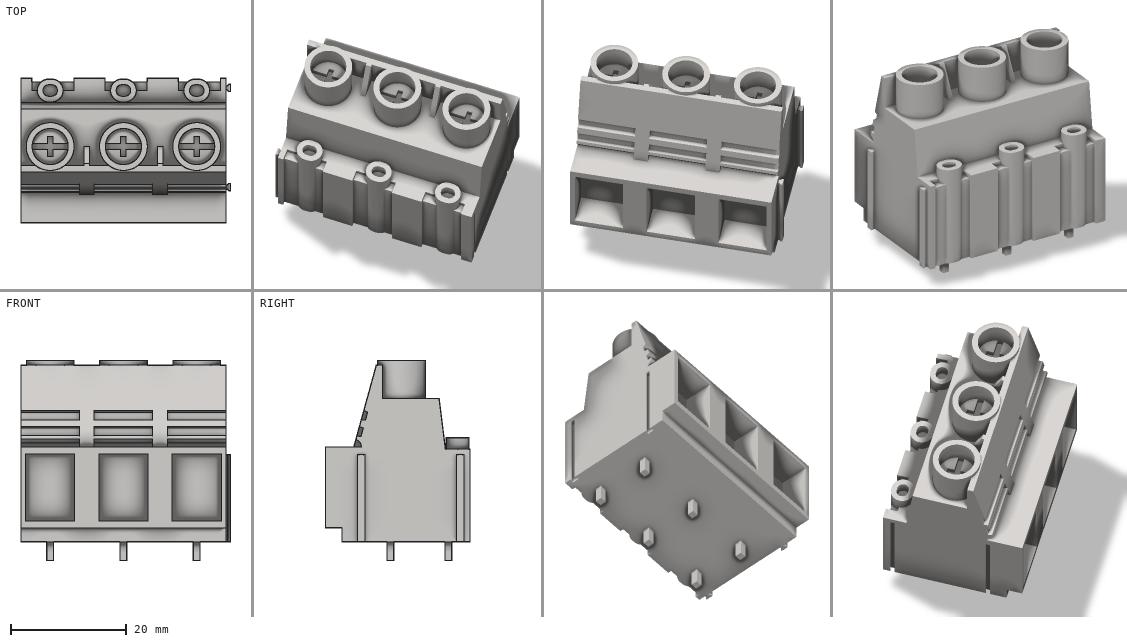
import cadquery as cq


POLES = 3
PITCH = 12.7
WIDTH = 35.55
MID_X = WIDTH / 2
POLE_XS = [MID_X + (i - (POLES - 1) / 2) * PITCH for i in range(POLES)]
GAP_XS = [(left + right) / 2 for left, right in zip(POLE_XS, POLE_XS[1:])]

DEPTH = 25.05
FRONT_TOP = 16.47
STEP_DEPTH = 2.85
STEP_HEIGHT = 2.45
WALL_TOP = 30.6
WALL_FRONT_TOP_Y = 8.8
WALL_FRONT_BASE_Y = 4.9
WALL_BACK_Y = 9.9
DECK_TOP = 24.85
DECK_BACK_TOP_Y = 19.7
DECK_BACK_BASE_Y = 20.8
REAR_TOP = 16.07

WEB_WIDTH = 2.55
GROOVE_DEPTH = 0.75
UPPER_GROOVE_TOP = 22.75
UPPER_GROOVE_INNER_TOP = 22.45
UPPER_GROOVE_BOTTOM = 21.1
MIDDLE_GROOVE_TOP = 19.95
MIDDLE_GROOVE_INNER_TOP = 19.7
MIDDLE_GROOVE_INNER_BOTTOM = 18.2
MIDDLE_GROOVE_BOTTOM = 18.4
LOWER_GROOVE_TOP = 17.8
LOWER_GROOVE_BEND_Y = 6.07
LOWER_GROOVE_BEND_Z = 17.15
LOWER_GROOVE_FOOT_Y = 6.25

GUSSET_WIDTH = 0.95
GUSSET_TOP_Y = 10.3
GUSSET_FOOT_Y = 13.25

WIRE_WIDTH = 8.5
WIRE_BOTTOM = 3.65
WIRE_TOP = 15.25
WIRE_DEPTH = 5.35

TUBE_Y = 13.2
TUBE_TOP = 31.45
TUBE_RADIUS = 4.15
SCREW_RADIUS = 3.13
SCREW_TOP = 27.45
SCREW_LENGTH = 5.0
LONG_SLOT_WIDTH = 1.1
SHORT_SLOT_WIDTH = 0.95
SHORT_SLOT_LENGTH = 3.5
SLOT_DEPTH = 1.0

NOTCH_WIDTH = 7.27
NOTCH_OFFSET = 0.47
NOTCH_DEPTH = 0.65
SHELF_DEPTH = 2.1
SHELF_DROP = 0.8
SOCKET_Y = 22.9
SOCKET_TOP = 18.07
SOCKET_LENGTH = 4.47
SOCKET_WIDTH = 3.95
SOCKET_WALL = 0.98

DOVETAIL_YS = [6.18, 23.35]
DOVETAIL_TOP = 15.13
DOVETAIL_NECK_WIDTH = 0.75
DOVETAIL_HEAD_WIDTH = 1.3
DOVETAIL_NECK_END = 0.2
DOVETAIL_HEAD_START = 0.5
DOVETAIL_LENGTH = 0.8

PIN_WIDTH = 1.2
PIN_LENGTH = 3.25
PIN_YS = [11.25, 21.3]


def wall_front_y(z):
    """Y of the sloping front of the wall at height z."""
    lean = (WALL_FRONT_TOP_Y - WALL_FRONT_BASE_Y) / (WALL_TOP - FRONT_TOP)
    return WALL_FRONT_BASE_Y + (z - FRONT_TOP) * lean


def groove_floor_y(z):
    """Y of the floor of a grip groove at height z."""
    return wall_front_y(z) + GROOVE_DEPTH


def side_extrusion(points, center_x, width):
    """Prism with a (y, z) outline, centred on center_x."""
    return cq.Workplane("YZ", origin=(center_x, 0, 0)).polyline(points).close().extrude(width / 2, both=True)


def box(center_x, width, y_start, y_end, z_start, z_end):
    """Block centred on center_x between the given Y and Z limits."""
    corner = (center_x - width / 2, y_start, z_start)
    return cq.Workplane("XY").box(width, y_end - y_start, z_end - z_start, centered=False).translate(corner)


def cylinder(center_x, center_y, radius, z_start, z_end):
    """Upright cylinder between the given heights."""
    return cq.Workplane("XY", origin=(center_x, center_y, z_start)).circle(radius).extrude(z_end - z_start)


def socket_prism(center_x, inset, z_start, z_end):
    """Upright prism whose outline is the round-ended socket outline moved inward by inset."""
    base = cq.Workplane("XY", origin=(center_x, SOCKET_Y, z_start))
    return base.slot2D(SOCKET_LENGTH - 2 * inset, SOCKET_WIDTH - 2 * inset).extrude(z_end - z_start)


def dovetail(start_x, center_y):
    """Upright bar that widens toward +X, used as a rib and as the cutter of its groove."""
    neck = DOVETAIL_NECK_WIDTH / 2
    head = DOVETAIL_HEAD_WIDTH / 2
    half_outline = [(0, neck), (DOVETAIL_NECK_END, neck), (DOVETAIL_HEAD_START, head), (DOVETAIL_LENGTH, head)]
    outline = half_outline + [(x, -y) for x, y in reversed(half_outline)]
    return cq.Workplane("XY", origin=(start_x, center_y, 0)).polyline(outline).close().extrude(DOVETAIL_TOP)


def housing_body():
    """Side profile carried across the full width."""
    profile = [
        (STEP_DEPTH, 0),
        (STEP_DEPTH, STEP_HEIGHT),
        (0, STEP_HEIGHT),
        (0, FRONT_TOP),
        (WALL_FRONT_BASE_Y, FRONT_TOP),
        (WALL_FRONT_TOP_Y, WALL_TOP),
        (WALL_BACK_Y, WALL_TOP),
        (WALL_BACK_Y, DECK_TOP),
        (DECK_BACK_TOP_Y, DECK_TOP),
        (DECK_BACK_BASE_Y, REAR_TOP),
        (DEPTH, REAR_TOP),
        (DEPTH, 0),
    ]
    return side_extrusion(profile, MID_X, WIDTH)


def grip_grooves():
    """Cutter for the three rows of grooves, interrupted where the webs stay."""
    upper = [
        (wall_front_y(UPPER_GROOVE_TOP), UPPER_GROOVE_TOP),
        (groove_floor_y(UPPER_GROOVE_INNER_TOP), UPPER_GROOVE_INNER_TOP),
        (groove_floor_y(UPPER_GROOVE_BOTTOM), UPPER_GROOVE_BOTTOM),
        (wall_front_y(UPPER_GROOVE_BOTTOM), UPPER_GROOVE_BOTTOM),
    ]
    middle = [
        (wall_front_y(MIDDLE_GROOVE_TOP), MIDDLE_GROOVE_TOP),
        (groove_floor_y(MIDDLE_GROOVE_INNER_TOP), MIDDLE_GROOVE_INNER_TOP),
        (groove_floor_y(MIDDLE_GROOVE_INNER_BOTTOM), MIDDLE_GROOVE_INNER_BOTTOM),
        (wall_front_y(MIDDLE_GROOVE_BOTTOM), MIDDLE_GROOVE_BOTTOM),
    ]
    lower = [
        (wall_front_y(LOWER_GROOVE_TOP), LOWER_GROOVE_TOP),
        (LOWER_GROOVE_BEND_Y, LOWER_GROOVE_BEND_Z),
        (LOWER_GROOVE_FOOT_Y, FRONT_TOP),
        (WALL_FRONT_BASE_Y, FRONT_TOP),
    ]
    grooves = cq.Workplane("XY")
    for outline in (upper, middle, lower):
        grooves = grooves.add(side_extrusion(outline, MID_X, WIDTH))
    grooves = grooves.combine()
    for x in GAP_XS:
        grooves = grooves.cut(box(x, WEB_WIDTH, 0, WALL_BACK_Y, 0, WALL_TOP))
    return grooves


def gusset(x):
    """Rib with a sloping back that joins the wall to the deck behind it."""
    outline = [
        (WALL_BACK_Y, DECK_TOP),
        (WALL_BACK_Y, WALL_TOP),
        (GUSSET_TOP_Y, WALL_TOP),
        (GUSSET_FOOT_Y, DECK_TOP),
    ]
    return side_extrusion(outline, x, GUSSET_WIDTH)


def rear_notch(x):
    """Full-height notch in the back face, with a shallow shelf cut in front of it."""
    center_x = x + NOTCH_OFFSET
    slot = box(center_x, NOTCH_WIDTH, DEPTH - NOTCH_DEPTH, DEPTH, 0, REAR_TOP)
    shelf = box(center_x, NOTCH_WIDTH, DEPTH - SHELF_DEPTH, DEPTH, REAR_TOP - SHELF_DROP, REAR_TOP)
    return slot.union(shelf)


def make_housing():
    """Moulded housing with its tubes, sockets, wire openings and dovetails."""
    housing = housing_body().cut(grip_grooves())
    for x in GAP_XS:
        housing = housing.union(gusset(x))
    for x in POLE_XS:
        housing = housing.cut(rear_notch(x))
        housing = housing.union(socket_prism(x, 0, 0, SOCKET_TOP))
        housing = housing.cut(socket_prism(x, SOCKET_WALL, REAR_TOP, SOCKET_TOP))
        housing = housing.union(cylinder(x, TUBE_Y, TUBE_RADIUS, DECK_TOP, TUBE_TOP))
        housing = housing.cut(cylinder(x, TUBE_Y, SCREW_RADIUS, SCREW_TOP - SCREW_LENGTH, TUBE_TOP))
        housing = housing.cut(box(x, WIRE_WIDTH, 0, WIRE_DEPTH, WIRE_BOTTOM, WIRE_TOP))
    for y in DOVETAIL_YS:
        housing = housing.union(dovetail(WIDTH, y))
        housing = housing.cut(dovetail(0, y))
    return housing


def make_screw(x):
    """Headless screw that fills the lower part of its tube, with a cross slot in its top."""
    screw = cylinder(x, TUBE_Y, SCREW_RADIUS, SCREW_TOP - SCREW_LENGTH, SCREW_TOP)
    slot_floor = SCREW_TOP - SLOT_DEPTH
    long_half = LONG_SLOT_WIDTH / 2
    short_half = SHORT_SLOT_LENGTH / 2
    long_slot = box(x, 2 * SCREW_RADIUS, TUBE_Y - long_half, TUBE_Y + long_half, slot_floor, SCREW_TOP)
    short_slot = box(x, SHORT_SLOT_WIDTH, TUBE_Y - short_half, TUBE_Y + short_half, slot_floor, SCREW_TOP)
    return screw.cut(long_slot).cut(short_slot)


def make_pin(x, y):
    """Square pin that hangs from the underside of the housing."""
    return box(x, PIN_WIDTH, y - PIN_WIDTH / 2, y + PIN_WIDTH / 2, -PIN_LENGTH, 0)


housing = make_housing()
screws = [make_screw(x) for x in POLE_XS]
pins = [make_pin(x, y) for x in POLE_XS for y in PIN_YS]

result = cq.Compound.makeCompound([housing.solids().val(), *[body.val() for body in screws + pins]])